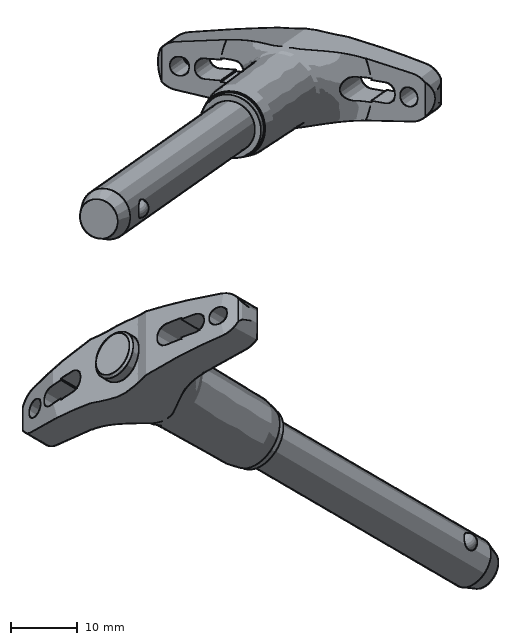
import cadquery as cq
import math

length = 81.3

shank_radius = 4.0
tip_radius = 3.1
tip_taper = 2.6
ball_radius = 1.5
ball_reach = 4.9
ball_y = 7.15

collar_radius = 4.95
collar_bottom = 49.2
barrel_bottom = 50.2
barrel_end_radius = 5.2
barrel_break = 52.4
barrel_lower_radius = 5.6
barrel_upper_radius = 5.85
barrel_top = 67.9
flare_neck_radius = 6.1
flare_neck_y = 68.6
flare_radius = 12.35
flare_y = 73.6
flare_mid_radius = 7.4
flare_mid_y = 71.7
flare_core_y = 75.6

handle_span = 45.2
handle_thickness = 12.7
flat_half_width = 0.9
tip_half_thickness = 3.8
crest_x = 5.7
crest_y = 80.1
dip_y = 79.3
top_end_x = 22.0
top_end_y = 77.4
top_bevel_x = 22.3
top_bevel_y = 76.8
top_mid_x = 14.2
top_mid_y = 79.2
widest_y = 73.8
bottom_end_x = 21.45
bottom_end_y = 72.7
underside_peak_x = 9.75
underside_peak_y = 73.9

hole_diameter = 3.0
hole_x = 18.7
slot_outer_x = 14.7
slot_inner_x = 9.7
slot_step_x = 12.3
slot_outer_width = 3.25
slot_inner_width = 3.7

button_radius = 3.8
button_chamfer = 0.4
button_base = 74.8

half_span = handle_span / 2
half_thickness = handle_thickness / 2


def handle_elevation():
    """Curved T-bar seen along Z, with slanted and chamfered ends."""
    return (
        cq.Workplane("XY")
        .moveTo(-bottom_end_x, bottom_end_y)
        .lineTo(-half_span, widest_y)
        .lineTo(-top_bevel_x, top_bevel_y)
        .lineTo(-top_end_x, top_end_y)
        .threePointArc((-top_mid_x, top_mid_y), (-crest_x, crest_y))
        .threePointArc((0, dip_y), (crest_x, crest_y))
        .threePointArc((top_mid_x, top_mid_y), (top_end_x, top_end_y))
        .lineTo(top_bevel_x, top_bevel_y)
        .lineTo(half_span, widest_y)
        .lineTo(bottom_end_x, bottom_end_y)
        .lineTo(underside_peak_x, underside_peak_y)
        .lineTo(-underside_peak_x, underside_peak_y)
        .close()
        .extrude(half_thickness, both=True)
    )


def handle_plan():
    """Tapered outline seen along Y, with round ends tangent to the flanks."""
    end_x = half_span - tip_half_thickness
    run = end_x - flat_half_width
    lean = math.atan2(half_thickness, run) - math.asin(tip_half_thickness / math.hypot(run, half_thickness))
    touch_x = end_x + tip_half_thickness * math.sin(lean)
    touch_z = tip_half_thickness * math.cos(lean)
    return (
        cq.Workplane("XZ")
        .moveTo(-flat_half_width, half_thickness)
        .lineTo(flat_half_width, half_thickness)
        .lineTo(touch_x, touch_z)
        .threePointArc((half_span, 0), (touch_x, -touch_z))
        .lineTo(flat_half_width, -half_thickness)
        .lineTo(-flat_half_width, -half_thickness)
        .lineTo(-touch_x, -touch_z)
        .threePointArc((-half_span, 0), (-touch_x, touch_z))
        .close()
        .extrude(-length)
    )


def flare():
    """Trumpet joining the barrel to the underside of the T-bar."""
    return (
        cq.Workplane("XY")
        .moveTo(0, flare_neck_y)
        .lineTo(flare_neck_radius, flare_neck_y)
        .threePointArc((flare_mid_radius, flare_mid_y), (flare_radius, flare_y))
        .lineTo(flare_radius, flare_core_y)
        .lineTo(0, flare_core_y)
        .close()
        .revolve(360, (0, 0, 0), (0, 1, 0))
    )


def pin():
    """Shank, collar and barrel as one turned body."""
    return (
        cq.Workplane("XY")
        .polyline([
            (0, 0),
            (tip_radius, 0),
            (shank_radius, tip_taper),
            (shank_radius, collar_bottom),
            (collar_radius, collar_bottom),
            (collar_radius, barrel_bottom),
            (barrel_end_radius, barrel_bottom),
            (barrel_lower_radius, barrel_break),
            (barrel_upper_radius, barrel_top),
            (flare_neck_radius, flare_neck_y),
            (0, flare_neck_y),
        ])
        .close()
        .revolve(360, (0, 0, 0), (0, 1, 0))
    )


def slot(center_x, width, end_x):
    """Slot cutter along Y, with one round end and one square end."""
    direction = math.copysign(1, center_x - end_x)
    return (
        cq.Workplane("XZ")
        .moveTo(end_x, width / 2)
        .lineTo(center_x, width / 2)
        .threePointArc((center_x + direction * width / 2, 0), (center_x, -width / 2))
        .lineTo(end_x, -width / 2)
        .close()
        .extrude(-length)
    )


def handle_openings():
    """Lanyard holes and stepped finger slots running through the bar along Y."""
    openings = (
        cq.Workplane("XZ")
        .pushPoints([(-hole_x, 0), (hole_x, 0)])
        .circle(hole_diameter / 2)
        .extrude(-length)
    )
    for side in (-1, 1):
        openings = openings.union(slot(side * slot_outer_x, slot_outer_width, side * slot_step_x))
        openings = openings.union(slot(side * slot_inner_x, slot_inner_width, side * slot_step_x))
    return openings


def button():
    """Release button with a bevelled rim, seated inside the bar."""
    return (
        cq.Workplane("XZ", origin=(0, button_base, 0))
        .circle(button_radius)
        .extrude(button_base - length)
        .faces(">Y")
        .chamfer(button_chamfer)
    )


handle = handle_elevation().union(flare()).intersect(handle_plan()).cut(handle_openings())
result = handle.union(pin()).union(button())
for side in (-1, 1):
    ball_x = side * (ball_reach - ball_radius)
    result = result.union(cq.Workplane("XY").sphere(ball_radius).translate((ball_x, ball_y, 0)))